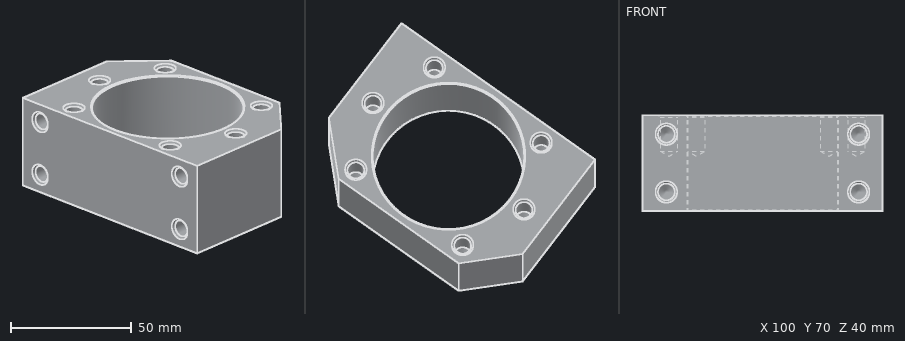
import cadquery as cq
import math

length = 100
width = 70
height = 40
corner_bevel = 19

bore_diameter = 63
bore_chamfer = 0.5

hole_diameter = 7
hole_mouth_diameter = 9
hole_depth = 15
drill_point_angle = 118
bolt_circle_diameter = 78
bolt_angles = (0, 45, 135, 180, 225, 315)
front_hole_spacing_x = 80
front_hole_spacing_z = 24


def drilled_hole(position, direction):
    """Cutter for a blind hole with a chamfered mouth and a conical bottom."""
    radius = hole_diameter / 2
    mouth_radius = hole_mouth_diameter / 2
    mouth_depth = mouth_radius - radius
    point_depth = radius / math.tan(math.radians(drill_point_angle / 2))
    profile = (
        cq.Workplane("XZ")
        .moveTo(0, 0)
        .lineTo(mouth_radius, 0)
        .lineTo(radius, -mouth_depth)
        .lineTo(radius, -hole_depth)
        .lineTo(0, -hole_depth - point_depth)
        .close()
    )
    cutter = profile.revolve(360, (0, 0), (0, 1)).val()
    return cutter.moved(cq.Plane(origin=position, normal=direction).location)


block = (
    cq.Workplane("XY")
    .box(length, width, height)
    .edges("|Z and >Y")
    .chamfer(corner_bevel)
)

result = block.faces(">Z").workplane(origin=(0, 0, 0)).hole(bore_diameter)
result = result.edges("%CIRCLE").chamfer(bore_chamfer)

for angle in bolt_angles:
    bolt_x = bolt_circle_diameter / 2 * math.cos(math.radians(angle))
    bolt_y = bolt_circle_diameter / 2 * math.sin(math.radians(angle))
    result = result.cut(drilled_hole((bolt_x, bolt_y, height / 2), (0, 0, 1)))

for side_x in (-1, 1):
    for side_z in (-1, 1):
        hole_x = side_x * front_hole_spacing_x / 2
        hole_z = side_z * front_hole_spacing_z / 2
        result = result.cut(drilled_hole((hole_x, -width / 2, hole_z), (0, -1, 0)))